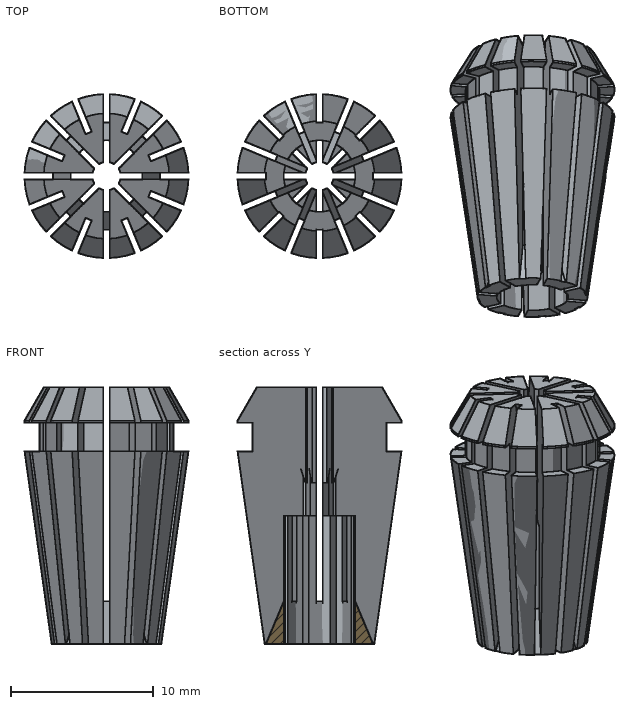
import cadquery as cq
import math

length = 18.0
head_diameter = 11.5

nose_angle = 30.0
lip_bottom_z = 15.5
lip_height = 0.15

groove_radius = 4.7
groove_bottom_z = 13.5

body_angle = 8.0
body_bottom_radius = 3.85

bore_radius = 0.99
relief_radius = 2.5
relief_depth = 9.0

slot_width = 0.45
slots_per_kind = 8
lower_web_height = 3.0
lower_web_radius = 3.76
upper_web_height = 6.7
upper_web_radius = 3.28

head_radius = head_diameter / 2
lip_top_z = lip_bottom_z + lip_height
nose_radius = head_radius - (length - lip_top_z) * math.tan(math.radians(nose_angle))
body_top_radius = body_bottom_radius + groove_bottom_z * math.tan(math.radians(body_angle))
slot_pitch = 360.0 / slots_per_kind
cutter_reach = head_radius + 0.18


def collet_blank():
    """Turned outer shape, revolved about Z."""
    profile = [
        (0, 0),
        (body_bottom_radius, 0),
        (body_top_radius, groove_bottom_z),
        (groove_radius, groove_bottom_z),
        (groove_radius, lip_bottom_z),
        (head_radius, lip_bottom_z),
        (head_radius, lip_top_z),
        (nose_radius, length),
        (0, length),
    ]
    return cq.Workplane("XZ").polyline(profile).close().revolve(360, (0, 0, 0), (0, 1, 0))


def stepped_bore():
    """Clamping bore through the full length, with the relief at the lower end."""
    bore = cq.Workplane("XY").circle(bore_radius).extrude(length)
    relief = cq.Workplane("XY").circle(relief_radius).extrude(relief_depth)
    return bore.union(relief)


def slot_cutter(profile):
    """Radial cutter, one slot wide, from a half profile of (radius, height) points."""
    return cq.Workplane("XZ").polyline(profile).close().extrude(slot_width / 2, both=True)


def slot_from_top():
    """Slot open at the top face; its floor slopes from the relief out to the lower end."""
    profile = [
        (0, lower_web_height),
        (relief_radius, lower_web_height),
        (lower_web_radius, 0),
        (cutter_reach, 0),
        (cutter_reach, length),
        (0, length),
    ]
    return slot_cutter(profile)


def slot_from_bottom():
    """Slot open at the lower end; its floor slopes from the bore out to the top face."""
    profile = [
        (0, 0),
        (cutter_reach, 0),
        (cutter_reach, length),
        (upper_web_radius, length),
        (bore_radius, length - upper_web_height),
        (0, length - upper_web_height),
    ]
    return slot_cutter(profile)


result = collet_blank().cut(stepped_bore())
for index in range(slots_per_kind):
    top_slot_angle = index * slot_pitch
    bottom_slot_angle = top_slot_angle + slot_pitch / 2
    result = result.cut(slot_from_top().rotate((0, 0, 0), (0, 0, 1), top_slot_angle))
    result = result.cut(slot_from_bottom().rotate((0, 0, 0), (0, 0, 1), bottom_slot_angle))